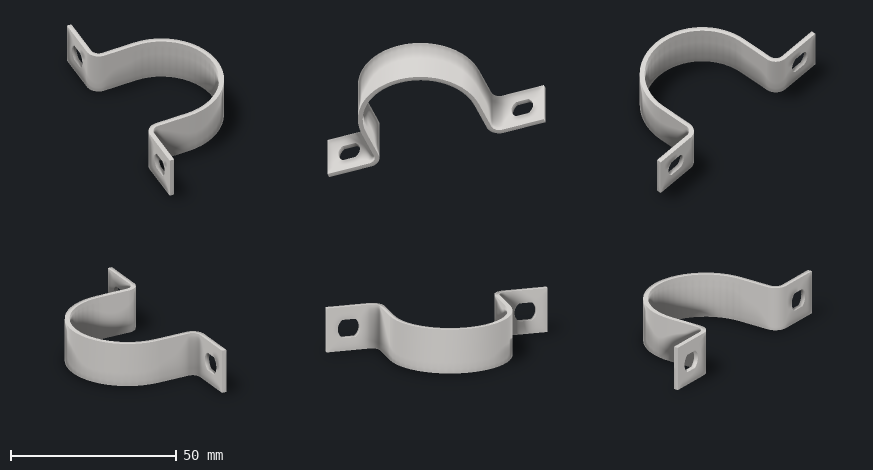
import cadquery as cq

overall_length = 70.0
overall_depth = 33.5
strap_width = 14.0
thickness = 1.5
saddle_outer_radius = 19.0
bend_inner_radius = 2.5
hole_diameter = 7.0
hole_height = 5.75
hole_spacing = 56.0

saddle_inner_radius = saddle_outer_radius - thickness
saddle_center_y = overall_depth - saddle_outer_radius
bend_outer_radius = bend_inner_radius + thickness
bend_center_x = saddle_outer_radius + bend_inner_radius
bend_center_y = bend_outer_radius
half_length = overall_length / 2


def half_strap(side):
    """One leg and foot with its quarter of the saddle; side is -1 or 1."""
    return (
        cq.Workplane("XY")
        .moveTo(0, overall_depth)
        .radiusArc((side * saddle_outer_radius, saddle_center_y), side * saddle_outer_radius)
        .lineTo(side * saddle_outer_radius, bend_center_y)
        .radiusArc((side * bend_center_x, thickness), -side * bend_inner_radius)
        .lineTo(side * half_length, thickness)
        .lineTo(side * half_length, 0)
        .lineTo(side * bend_center_x, 0)
        .radiusArc((side * saddle_inner_radius, bend_center_y), side * bend_outer_radius)
        .lineTo(side * saddle_inner_radius, saddle_center_y)
        .radiusArc((0, saddle_center_y + saddle_inner_radius), -side * saddle_inner_radius)
        .close()
        .extrude(strap_width / 2, both=True)
    )


def mounting_hole(x):
    """Cutter for a round hole with flats above and below, through a foot."""
    round_hole = cq.Workplane("XZ").center(x, 0).circle(hole_diameter / 2).extrude(thickness, both=True)
    flats = cq.Workplane("XZ").center(x, 0).rect(hole_diameter, hole_height).extrude(thickness, both=True)
    return round_hole.intersect(flats)


result = half_strap(-1).union(half_strap(1))
for side in (-1, 1):
    result = result.cut(mounting_hole(side * hole_spacing / 2))